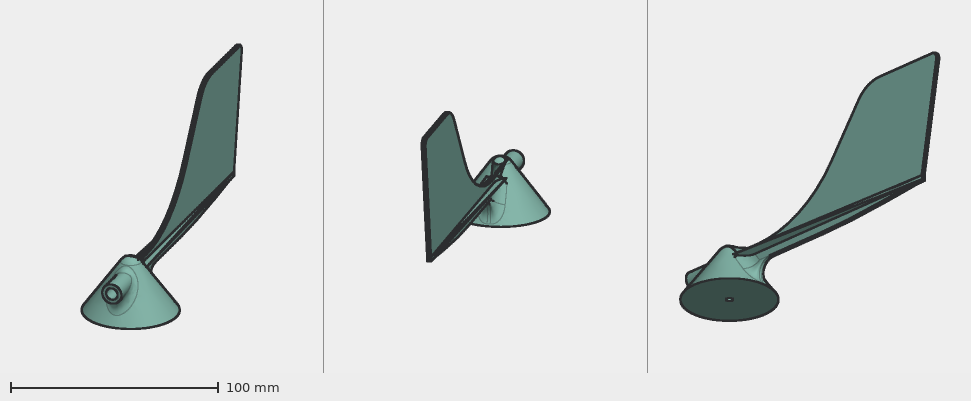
import cadquery as cq
import math

total_length = 169.0
tail_reach = 144.2

hub_radius = 23.7
hub_height = 28.0
tip_radius = 6.5
ball_center = hub_height - tip_radius
half_angle = math.atan2(hub_radius, ball_center) - math.asin(
    tip_radius / math.hypot(hub_radius, ball_center)
)

tube_diameter = 10.0
tube_bore_diameter = 6.0
tube_height = 18.1
tube_end = total_length - tail_reach
tube_fillet = 5.0

pivot_diameter = 3.4
pivot_depth = 18.5
pivot_tip_height = 2.5

vane_thickness = 2.0
vane_chamfer = 0.5
vane_top = 83.0
vane_root_height = 22.7
tail_foot = 133.7
tail_corner = 144.9
shoulder = 95.0
valley = 51.9
shoulder_radius = 17.7
valley_radius = 62.5
plate_start = 1.7
plate_bottom = 13.4
tail_bottom = 18.1
bottom_curve_start = 64.2
tail_bottom_slope = 0.09
hub_fillet = 7.8
tail_lean = math.atan2(tail_corner - tail_foot, vane_top - tail_bottom)
tail_radius = (tail_corner - tail_reach) / (math.tan(tail_lean) + 1 / math.cos(tail_lean) - 1)

joint_near = 4.9
joint_far = 15.2

gusset_length = 13.5
gusset_half_width = 3.9
gusset_sag = 0.5

flange_top = 20.0
flange_root_half_width = 4.5
flange_root = 20.3
flange_underside_slope = 0.55


def hub_profile():
    """Right half of the upright section through the hub axis."""
    touch_radius = tip_radius * math.cos(half_angle)
    touch_height = ball_center + tip_radius * math.sin(half_angle)
    middle_angle = (half_angle + math.pi / 2) / 2
    middle = (tip_radius * math.cos(middle_angle), ball_center + tip_radius * math.sin(middle_angle))
    return (
        cq.Workplane("XZ")
        .lineTo(hub_radius, 0)
        .lineTo(touch_radius, touch_height)
        .threePointArc(middle, (0, hub_height))
        .close()
    )


def make_hub():
    return hub_profile().revolve(360, (0, 0), (0, 1))


def make_tube():
    return (
        cq.Workplane("XZ")
        .center(0, tube_height)
        .circle(tube_diameter / 2)
        .extrude(tube_end)
    )


def make_vane():
    half_thickness = vane_thickness / 2
    plate = (
        cq.Workplane("YZ")
        .moveTo(plate_start, plate_bottom)
        .lineTo(bottom_curve_start, plate_bottom)
        .spline(
            [(tail_foot, tail_bottom)],
            tangents=[(1, 0), (1, tail_bottom_slope)],
            includeCurrent=True,
        )
        .lineTo(tail_corner, vane_top)
        .lineTo(shoulder, vane_top)
        .lineTo(valley, vane_root_height)
        .lineTo(plate_start, vane_root_height)
        .close()
        .extrude(half_thickness, both=True)
    )
    corners = [
        (tail_corner, vane_top, tail_radius),
        (shoulder, vane_top, shoulder_radius),
        (valley, vane_root_height, valley_radius),
    ]
    for y, z, radius in corners:
        nearest = cq.selectors.NearestToPointSelector((0, y, z))
        plate = plate.edges("|X").edges(nearest).fillet(radius)
    rim = cq.selectors.BoxSelector(
        (-vane_thickness, plate_start, vane_root_height + vane_chamfer),
        (vane_thickness, tail_corner, vane_top + vane_chamfer),
    )
    return plate.faces(">X or <X").edges(rim).chamfer(vane_chamfer)


def make_gusset():
    middle_height = (hub_height + vane_root_height) / 2 - gusset_sag
    side = (
        cq.Workplane("YZ")
        .moveTo(0, plate_bottom)
        .lineTo(0, hub_height)
        .threePointArc((gusset_length / 2, middle_height), (gusset_length, vane_root_height))
        .lineTo(gusset_length, plate_bottom)
        .close()
        .extrude(gusset_half_width, both=True)
    )
    end_half_width = vane_thickness / 2
    plan = (
        cq.Workplane("XY")
        .polyline([
            (-gusset_half_width, 0),
            (gusset_half_width, 0),
            (end_half_width, gusset_length),
            (-end_half_width, gusset_length),
        ])
        .close()
        .extrude(hub_height)
    )
    half_ridge = hub_profile().extrude(-gusset_length)
    ridge = half_ridge.union(half_ridge.mirror("YZ"))
    return side.intersect(plan).intersect(ridge)


def make_flange():
    half_thickness = vane_thickness / 2
    taper = (flange_root_half_width - half_thickness) / (tail_foot - flange_root)
    start_half_width = half_thickness + taper * (tail_foot - plate_start)
    plan = (
        cq.Workplane("XY")
        .polyline([
            (-start_half_width, plate_start),
            (start_half_width, plate_start),
            (half_thickness, tail_foot),
            (-half_thickness, tail_foot),
        ])
        .close()
        .extrude(flange_top)
    )
    depth = flange_underside_slope * (start_half_width - half_thickness)
    section = (
        cq.Workplane("XZ")
        .polyline([
            (-start_half_width, flange_top),
            (start_half_width, flange_top),
            (half_thickness, flange_top - depth),
            (-half_thickness, flange_top - depth),
        ])
        .close()
        .extrude(-tail_foot)
    )
    return plan.intersect(section)


def make_pivot_hole():
    radius = pivot_diameter / 2
    return (
        cq.Workplane("XZ")
        .polyline([(0, 0), (radius, 0), (radius, pivot_depth), (0, pivot_depth + pivot_tip_height)])
        .close()
        .revolve(360, (0, 0), (0, 1))
    )


def make_tube_bore():
    return (
        cq.Workplane("XZ")
        .center(0, tube_height)
        .circle(tube_bore_diameter / 2)
        .extrude(tube_end)
    )


def fillet_joint(body, near_y, far_y, top, radius):
    """Round the edges lying in the stretch of Y, below a height, where a member meets the hub."""
    box = cq.selectors.BoxSelector(
        (-tube_diameter, near_y, plate_bottom / 2),
        (tube_diameter, far_y, top),
        boundingbox=True,
    )
    return body.edges(box).fillet(radius)


body = make_hub().union(make_tube())
body = fillet_joint(body, -joint_far, -joint_near, hub_height, tube_fillet)
body = body.union(make_vane())
body = fillet_joint(body, joint_near, joint_far, vane_root_height - vane_chamfer / 2, hub_fillet)
body = body.union(make_gusset()).union(make_flange())
result = body.cut(make_pivot_hole()).cut(make_tube_bore())